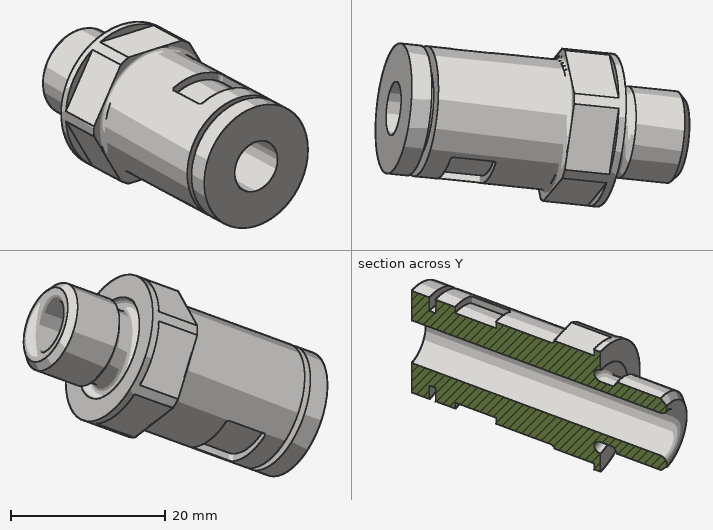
import cadquery as cq
import math

thread_end = 7.5
flange_start = 10.0
hex_start = 11.0
hex_end = 17.0
groove_start = 34.9
groove_end = 35.8
total_length = 38.5

bore_radius = 3.5
thread_radius = 6.0
neck_radius = 5.08
flange_radius = 10.0
body_radius = 8.5
groove_radius = 6.25

bore_mouth_fillet = 1.0
thread_chamfer = thread_radius - neck_radius
runout_angle = math.radians(30)
runout_fillet = 0.5
body_fillet = 0.5

seal_groove_outer_radius = 6.92

hex_across_flats = 18.0

pocket_start = 25.8
pocket_length = 6.1
pocket_width = 8.0
pocket_corner_radius = 0.4
pocket_floor_radius = 7.5

cut_clearance = 1.0


def make_turned_body():
    """Revolve the half section about X; the hexagon is left as a full cylinder."""
    fillet_drop = runout_fillet * (1 - math.sin(runout_angle))
    cone_drop = thread_chamfer - fillet_drop
    cone_end = thread_end + cone_drop * math.tan(runout_angle)
    neck_start = cone_end + runout_fillet * math.cos(runout_angle)
    fillet_center_radius = neck_radius + runout_fillet
    fillet_mid_angle = (math.pi / 2 + runout_angle) / 2
    fillet_mid = (
        neck_start - runout_fillet * math.cos(fillet_mid_angle),
        fillet_center_radius - runout_fillet * math.sin(fillet_mid_angle),
    )
    seal_groove_radius = (seal_groove_outer_radius - neck_radius) / 2
    seal_groove_bottom = (flange_start + seal_groove_radius, neck_radius + seal_groove_radius)

    body_fillet_mid_offset = body_fillet * (1 - math.sqrt(0.5))
    mouth_mid_offset = bore_mouth_fillet * (1 - math.sqrt(0.5))

    profile = (
        cq.Workplane("XY")
        .moveTo(bore_mouth_fillet, bore_radius)
        .threePointArc(
            (mouth_mid_offset, bore_radius + mouth_mid_offset),
            (0, bore_radius + bore_mouth_fillet),
        )
        .lineTo(0, thread_radius - thread_chamfer)
        .lineTo(thread_chamfer, thread_radius)
        .lineTo(thread_end, thread_radius)
        .lineTo(cone_end, neck_radius + fillet_drop)
        .threePointArc(fillet_mid, (neck_start, neck_radius))
        .lineTo(flange_start, neck_radius)
        .threePointArc(seal_groove_bottom, (flange_start, seal_groove_outer_radius))
        .lineTo(flange_start, flange_radius)
        .lineTo(hex_end, flange_radius)
        .lineTo(hex_end, body_radius + body_fillet)
        .threePointArc(
            (hex_end + body_fillet_mid_offset, body_radius + body_fillet_mid_offset),
            (hex_end + body_fillet, body_radius),
        )
        .lineTo(groove_start, body_radius)
        .lineTo(groove_start, groove_radius)
        .lineTo(groove_end, groove_radius)
        .lineTo(groove_end, body_radius)
        .lineTo(total_length, body_radius)
        .lineTo(total_length, bore_radius)
        .close()
    )
    return profile.revolve(360, (0, 0, 0), (1, 0, 0))


def cut_hexagon(part):
    """Cut six wrench flats behind the flange, two of them square to Z."""
    hex_length = hex_end - hex_start
    hex_circumscribed_diameter = hex_across_flats / math.cos(math.pi / 6)
    clearance_radius = flange_radius + cut_clearance
    plane = cq.Workplane("YZ", origin=(hex_start, 0, 0))
    around_hexagon = (
        plane.circle(clearance_radius)
        .polygon(6, hex_circumscribed_diameter)
        .extrude(hex_length)
    )
    return part.cut(around_hexagon)


def cut_pockets(part):
    """Cut a rounded rectangular pocket with a cylindrical floor on the +Z and -Z sides."""
    pocket_center = pocket_start + pocket_length / 2
    cutter_reach = body_radius + cut_clearance
    cutter = (
        cq.Workplane("XY", origin=(pocket_center, 0, 0))
        .rect(pocket_length, pocket_width)
        .extrude(cutter_reach, both=True)
        .edges("|Z")
        .fillet(pocket_corner_radius)
    )
    floor = (
        cq.Workplane("YZ", origin=(pocket_start, 0, 0))
        .circle(pocket_floor_radius)
        .extrude(pocket_length)
    )
    return part.cut(cutter.cut(floor))


result = make_turned_body()
result = cut_hexagon(result)
result = cut_pockets(result)